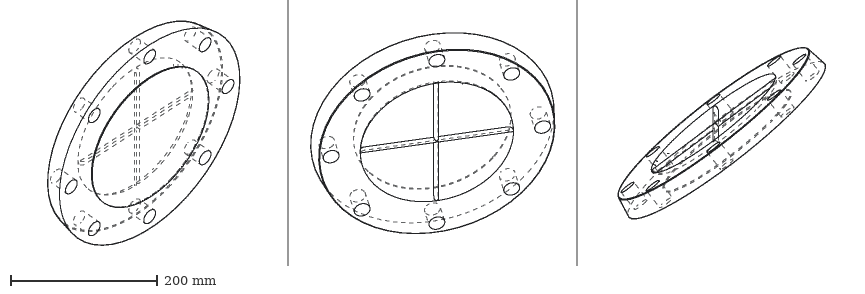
import cadquery as cq
import math

rim_diameter = 340.0
total_thickness = 31.5
boss_height = 1.7
disc_thickness = total_thickness - boss_height
draft_angle = 10.0
front_chamfer = 1.0

boss_diameter = 220.0

recess_diameter = 214.0
recess_floor_diameter = 200.0
recess_depth = (recess_diameter - recess_floor_diameter) / 2

rib_width = 6.0
rib_height = 6.0

bolt_count = 8
bolt_hole_diameter = 22.0
bolt_circle_diameter = 295.0


def make_disc():
    """Drafted disc, widest at the back, with a small chamfer on the front edge."""
    front_radius = rim_diameter / 2 - disc_thickness * math.tan(math.radians(draft_angle))
    disc = cq.Solid.makeCone(
        front_radius, rim_diameter / 2, disc_thickness, cq.Vector(0, 0, 0), cq.Vector(1, 0, 0)
    )
    return cq.Workplane(disc).faces("<X").edges().chamfer(front_chamfer)


def make_boss():
    return cq.Workplane("YZ").circle(boss_diameter / 2).extrude(total_thickness)


def make_recess():
    """Volume removed from the front: a flat-floored dish with a quarter-round wall."""
    floor_radius = recess_floor_diameter / 2
    arc_offset = recess_depth * math.sqrt(0.5)
    return (
        cq.Workplane("XY")
        .lineTo(recess_depth, 0)
        .lineTo(recess_depth, floor_radius)
        .threePointArc((arc_offset, floor_radius + arc_offset), (0, recess_diameter / 2))
        .close()
        .revolve(360, (0, 0, 0), (1, 0, 0))
    )


def make_rib(direction_angle):
    """Straight rib across the recess, rounded along its top and trimmed to the recess wall."""
    rib_radius = rib_width / 2
    round_start = recess_depth - rib_height + rib_radius
    profile = (
        cq.Workplane("XY")
        .moveTo(recess_depth, -rib_radius)
        .lineTo(round_start, -rib_radius)
        .threePointArc((round_start - rib_radius, 0), (round_start, rib_radius))
        .lineTo(recess_depth, rib_radius)
        .close()
    )
    rib = profile.extrude(recess_diameter / 2, both=True)
    return rib.rotate((0, 0, 0), (1, 0, 0), direction_angle).intersect(make_recess())


def make_bolt_holes():
    return (
        cq.Workplane("YZ")
        .polarArray(bolt_circle_diameter / 2, 0, 360, bolt_count)
        .circle(bolt_hole_diameter / 2)
        .extrude(total_thickness)
    )


result = make_disc().union(make_boss()).cut(make_recess())
for rib_angle in (0, 90):
    result = result.union(make_rib(rib_angle))
result = result.cut(make_bolt_holes())